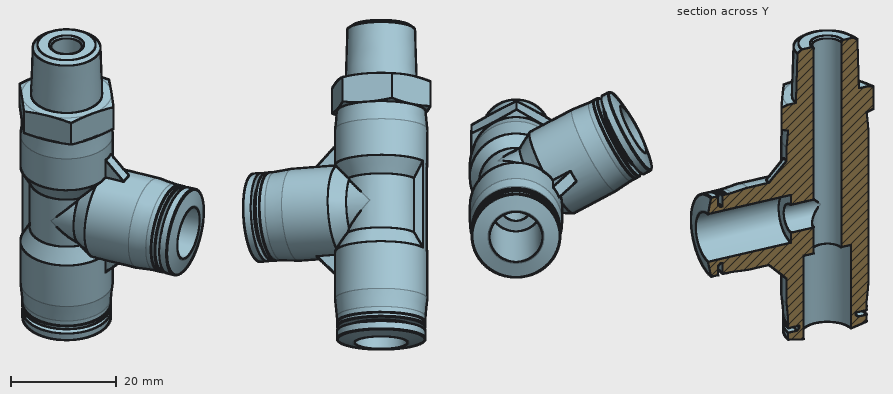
import cadquery as cq
import math


branch_reach = 25.4
run_bottom = 26.1
run_top = 35.3

body_dia = 17.5
waist_dia = 14.0
body_end_dia = 16.8
waist_cone_start = 5.1
waist_cone_end = 8.3
upper_taper_start = 15.3
nut_bottom = 18.8
web_thickness = 2.4
gusset_reach = 21.2

mouth_bevel_depth = 0.6
flange_depth = 2.2
neck_flare_depth = 2.7
body_end_depth = 3.05
cap_seam_depth = 3.9
taper_end_depth = 5.0
taper_start_depth = 8.45
port_cone_start_depth = 17.6
port_cone_end_depth = 20.7

tube_dia = 10.0
mouth_dia = 10.6
neck_dia = 12.0
neck_flare_dia = 13.0
flange_dia = 16.8
edge_break = 0.15

hex_across_flats = 17.0
hex_height = 5.5
hex_bevel_angle = 15.0
thread_taper = 1 / 16
thread_base_dia = 13.5
thread_tip_chamfer_height = 0.65
thread_tip_dia = 11.0
bore_dia = 5.8
bore_chamfer = 0.4


def turned(profile):
    """Solid of revolution about Z from (radius, height) points; both ends close on the axis."""
    axis_points = [(0, profile[-1][1]), (0, profile[0][1])]
    return cq.Workplane("XZ").polyline(profile + axis_points).close().revolve(360, (0, 0), (0, 1))


def push_in_port(reach):
    """Port along +Z with its mouth at the given reach and its waist starting at the origin."""
    rim_radius = flange_dia / 2 - edge_break
    end_radius = body_end_dia / 2
    seam_half_width = edge_break / 2
    profile_by_depth = [
        (waist_dia / 2, reach),
        (waist_dia / 2, port_cone_end_depth),
        (body_dia / 2, port_cone_start_depth),
        (body_dia / 2, taper_start_depth),
        (end_radius, taper_end_depth),
        (end_radius, cap_seam_depth + seam_half_width),
        (end_radius - seam_half_width, cap_seam_depth),
        (end_radius, cap_seam_depth - seam_half_width),
        (end_radius, body_end_depth + edge_break),
        (end_radius - edge_break, body_end_depth),
        (neck_dia / 2, body_end_depth),
        (neck_dia / 2, neck_flare_depth),
        (neck_flare_dia / 2, flange_depth),
        (flange_dia / 2, flange_depth),
        (flange_dia / 2, mouth_bevel_depth + edge_break),
        (rim_radius, mouth_bevel_depth),
        (mouth_dia / 2, 0),
    ]
    return turned([(radius, reach - depth) for radius, depth in profile_by_depth])


def toward_branch(shape):
    return shape.rotate((0, 0, 0), (0, 1, 0), 90)


def toward_bottom(shape):
    return shape.rotate((0, 0, 0), (1, 0, 0), 180)


def upper_body():
    return turned([
        (waist_dia / 2, 0),
        (waist_dia / 2, waist_cone_start),
        (body_dia / 2, waist_cone_end),
        (body_dia / 2, upper_taper_start),
        (body_end_dia / 2, nut_bottom),
    ])


def back_web():
    """Rib that fills the waist on the side away from the branch, flush with the body."""
    bottom = port_cone_start_depth - run_bottom
    height = waist_cone_end - bottom
    slab = cq.Workplane("XY").box(body_dia, web_thickness, height, centered=(True, True, False))
    left_slab = slab.translate((-body_dia / 2, 0, bottom))
    sleeve = cq.Workplane("XY").workplane(offset=bottom).circle(body_dia / 2).extrude(height)
    return left_slab.intersect(sleeve)


def gussets():
    """Sloping ribs in the two corners between the run and the branch."""
    outline = [(0, -gusset_reach), (gusset_reach, 0), (0, gusset_reach)]
    plate = cq.Workplane("XZ").polyline(outline).close().extrude(web_thickness / 2, both=True)
    kept_length = gusset_reach - body_dia / 2
    keep = cq.Workplane("XY").box(
        kept_length, web_thickness, 2 * gusset_reach, centered=(False, True, True))
    return plate.intersect(keep)


def hexagon():
    """Hexagon with corners on the X axis and both faces bevelled down to the flats circle."""
    corner_dia = hex_across_flats / math.cos(math.radians(30))
    flat_radius = hex_across_flats / 2
    corner_radius = corner_dia / 2
    bevel_drop = (corner_radius - flat_radius) * math.tan(math.radians(hex_bevel_angle))
    hex_top = nut_bottom + hex_height
    prism = cq.Workplane("XY").workplane(offset=nut_bottom).polygon(6, corner_dia).extrude(hex_height)
    bevel_envelope = turned([
        (flat_radius, nut_bottom),
        (corner_radius, nut_bottom + bevel_drop),
        (corner_radius, hex_top - bevel_drop),
        (flat_radius, hex_top),
    ])
    return prism.intersect(bevel_envelope)


def thread():
    base = nut_bottom + hex_height
    chamfer_base = run_top - thread_tip_chamfer_height
    chamfer_base_dia = thread_base_dia - thread_taper * (chamfer_base - base)
    return turned([
        (thread_base_dia / 2, base),
        (chamfer_base_dia / 2, chamfer_base),
        (thread_tip_dia / 2, run_top),
    ])


def run_bore():
    """Bore from the thread tip down to the bottom tube socket."""
    socket_end = port_cone_start_depth - run_bottom
    return turned([
        (tube_dia / 2, -run_bottom),
        (tube_dia / 2, socket_end),
        (bore_dia / 2, socket_end),
        (bore_dia / 2, run_top - bore_chamfer),
        (bore_dia / 2 + bore_chamfer, run_top),
    ])


def branch_bore():
    """Tube socket of the branch and the passage that joins it to the run, along +Z."""
    socket_end = branch_reach - port_cone_start_depth
    return turned([
        (bore_dia / 2, 0),
        (bore_dia / 2, socket_end),
        (tube_dia / 2, socket_end),
        (tube_dia / 2, branch_reach),
    ])


bottom_port = toward_bottom(push_in_port(run_bottom))
branch_port = toward_branch(push_in_port(branch_reach))
body = upper_body().union(bottom_port).union(branch_port).union(back_web()).union(gussets())
tee = body.union(hexagon()).union(thread())
result = tee.cut(run_bore()).cut(toward_branch(branch_bore()))